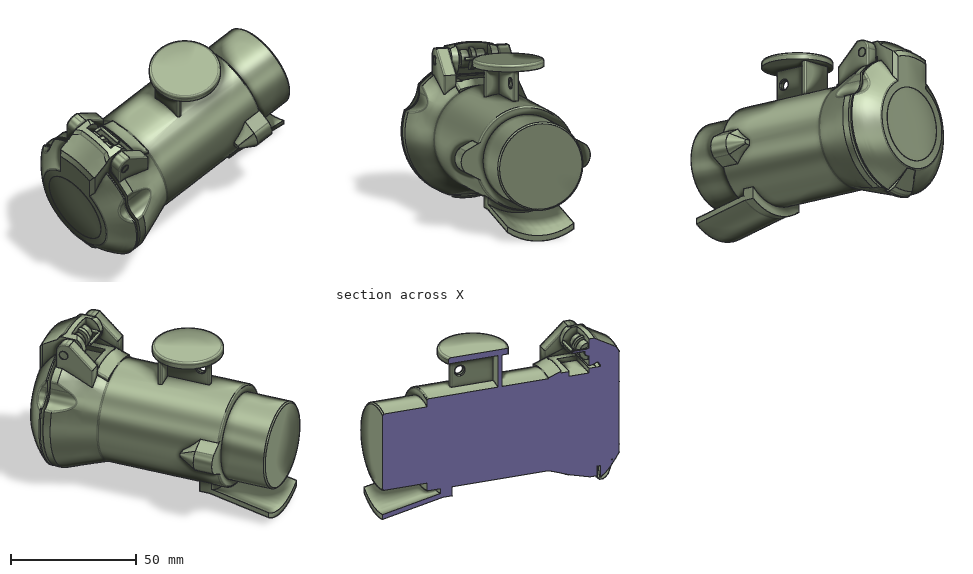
import cadquery as cq
import math

length = 101.6
axis_origin = (0, 0, 0)

body_radius = 21.1
spigot_radius = 17.9
shoulder_y = 82.6
cone_rear_y = 30.5
cone_blend_radius = 1.7
rim_radius = 27.48
rim_rear_y = 12.6
rim_front_y = 9.5
edge_radius = 0.6

lid_rear_y = 8.3
lid_edge_y = 7.7
lid_face_radius = 18.6
lid_face_chamfer = 0.5
lid_bulge_radius = 24.0
lid_bulge_y = 4.2
lid_neck_radius = 22.7
face_disc_radius = 14.9
face_disc_depth = 0.1

recess_x = 27.2
recess_z = 15.4
recess_radius = 6.9
recess_body_fillet = 0.9
recess_lid_fillet = 1.0
recess_rear_y = 25.4

flat_z = -26.0
flat_rear_z = -21.0

pin_y = 13.1
pin_z = 28.9
pin_radius = 1.8
pin_recess = 0.3
lug_inner_x = 10.2
lug_outer_x = 15.3
lug_top_z = 33.9
lug_top_rear_y = 15.6
lug_front_gap = 0.3
lug_rear_y = 25.7
lug_rear_top_z = 24.8
lug_base_z = 14.2
lug_nose_radius = 3.9
lug_edge_fillet = 0.5
arm_half_width = 9.9
arm_face_half_width = 8.4
arm_bevel_y = 1.6
arm_crown_radius = 35.3
arm_nose_radius = 27.6
barrel_radius = 6.1
slot_half_width = 6.9
pad_half_width = 10.6
pad_edge_fillet = 0.8
pad_axis_z = -15.2
pad_floor_z = 21.8
pocket_half_width = 10.0
pocket_rear_y = 25.0
pocket_corner = 1.2
spring_pocket_rear_y = 21.5
spring_pocket_floor_z = 19.8

spring_wire_radius = 0.6
spring_leg_y = 19.7
spring_leg_z = 29.9
spring_leg_x = 5.7
spring_leg_end_x = 4.6
coil_radius = 3.7
loop_radius = 4.5
loop_half_width = 0.9
coil_spans = [(-5.1, -1.3), (1.8, 5.1)]

tab_top_half_width = 2.4
tab_bottom_half_width = 6.1
tab_radius = 28.3

plate_radius = 14.2
plate_y = 60.5
plate_top_z = 36.6
plate_thickness = 2.7
plate_fillet = 0.9
post_front_y = 50.2
post_rear_y = 70.4
post_half_width = 6.9
post_thickness = 2.0
web_thickness = 2.4
hole_y = 66.5
hole_z = 27.8
hole_radius = 1.9
hole_chamfer = 0.4

bayonet_outer_x = 27.08
bayonet_root_half_height = 8.5
bayonet_flat_x = 25.1
bayonet_flat_z = 4.4
bayonet_shoulder_y = 74.6
bayonet_tip_y = 67.4
bayonet_tip_x = 23.8
bayonet_tip_half_height = 1.6
bayonet_root_x = 17.3

strap_half_width = 13.9
strap_curve_radius = 25.4
strap_thickness = 2.2
strap_bottom_z = -30.2
strap_angle = 11.5
foot_front_y = 71.6
foot_rear_y = 76.8
foot_bottom_z = -24.9


def turned(points):
    """Solid of revolution about the Y axis from (radius, y) points."""
    return cq.Workplane("XY").polyline(points).close().revolve(360, axis_origin, (0, 1, 0))


def block(x_range, y_range, z_range):
    sizes = [high - low for low, high in (x_range, y_range, z_range)]
    corner = (x_range[0], y_range[0], z_range[0])
    return cq.Workplane("XY").box(*sizes, centered=False).translate(corner)


def rod_x(x_start, x_end, y, z, radius):
    """Round bar parallel to X."""
    plane = cq.Workplane("YZ", origin=(x_start, y, z))
    return plane.circle(radius).extrude(x_end - x_start)


def rod_y(x, z, radius, y_start, y_end):
    """Round bar parallel to Y."""
    plane = cq.Workplane("XZ", origin=(x, y_start, z))
    return plane.circle(radius).extrude(y_start - y_end)


def side_profile(points, x_start, x_end):
    """Prism parallel to X from (y, z) points."""
    plane = cq.Workplane("YZ", origin=(x_start, 0, 0))
    return plane.polyline(points).close().extrude(x_end - x_start)


def front_profile(points, y_start, y_end):
    """Prism parallel to Y from (x, z) points."""
    plane = cq.Workplane("XZ", origin=(0, y_start, 0))
    return plane.polyline(points).close().extrude(y_start - y_end)


def both_sides(solid):
    return solid.union(solid.mirror("YZ"))


def make_body():
    barrel = turned([
        (0, rim_front_y), (rim_radius, rim_front_y), (rim_radius, rim_rear_y),
        (body_radius, cone_rear_y), (body_radius, shoulder_y), (0, shoulder_y),
    ])
    barrel = barrel.faces(">Y").edges().fillet(edge_radius)
    cone_start = cq.selectors.BoxSelector(
        (-rim_radius, cone_rear_y - 0.1, -rim_radius), (rim_radius, cone_rear_y + 0.1, rim_radius))
    barrel = barrel.edges(cone_start).edges("%CIRCLE").fillet(cone_blend_radius)
    spigot = rod_y(0, 0, spigot_radius, shoulder_y - edge_radius, length)
    spigot = spigot.faces(">Y").edges().chamfer(edge_radius)
    below = -2 * rim_radius
    under_flat = side_profile(
        [(0, flat_z), (rim_rear_y, flat_z), (cone_rear_y, flat_rear_z),
         (cone_rear_y, below), (0, below)],
        -rim_radius, rim_radius)
    return barrel.union(spigot).cut(under_flat)


def make_hinge_pad():
    """Raised pad on top of the cone; its crown is flatter than the cone."""
    slope = (rim_radius - body_radius) / (cone_rear_y - rim_rear_y)
    rear_radius = body_radius - pad_axis_z
    front_radius = rear_radius + slope * (cone_rear_y - rim_front_y)
    crown = turned([(0, rim_front_y), (front_radius, rim_front_y),
                    (rear_radius, cone_rear_y), (0, cone_rear_y)])
    crown = crown.translate((0, 0, pad_axis_z))
    pad = crown.intersect(block(
        (-pad_half_width, pad_half_width), (rim_front_y, cone_rear_y), (0, rim_radius + body_radius)))
    side_edges = "(>X or <X) and (not |Y) and (not |Z)"
    return pad.edges(side_edges).fillet(pad_edge_fillet)


def make_hinge_pocket():
    """Clearance for the lid barrel, with a deeper well under the spring."""
    pocket = block((-pocket_half_width, pocket_half_width), (rim_front_y, pocket_rear_y),
                   (pad_floor_z, 2 * rim_radius))
    pocket = pocket.edges("|Z and >Y").fillet(pocket_corner)
    well = block((-slot_half_width, slot_half_width), (pin_y, spring_pocket_rear_y),
                 (spring_pocket_floor_z, pad_floor_z))
    return pocket.union(well)


def make_hinge_lug():
    front_y = rim_front_y + lug_front_gap
    profile = [
        (front_y, lug_base_z), (front_y, lug_top_z), (lug_top_rear_y, lug_top_z),
        (lug_rear_y, lug_rear_top_z), (lug_rear_y, lug_base_z),
    ]
    lug = side_profile(profile, lug_inner_x, lug_outer_x)
    lug = lug.edges("|X and >Z").edges("<Y").fillet(lug_nose_radius)
    lug = lug.faces("<X or >X").edges().fillet(lug_edge_fillet)
    pin_mark = rod_x(lug_outer_x - pin_recess, lug_outer_x, pin_y, pin_z, pin_radius)
    return lug.cut(pin_mark)


def make_recess():
    scoop = rod_y(recess_x, recess_z, recess_radius, -1, recess_rear_y)
    opening = block((recess_x - recess_radius, recess_x + recess_radius),
                    (-1, recess_rear_y), (recess_z, rim_radius))
    return scoop.union(opening)


def cut_recesses(solid, y_range, fillet_radius):
    """Scoop out both recesses and round over the edges they leave between two places along Y."""
    solid = solid.cut(both_sides(make_recess()))
    wall_x = recess_x - recess_radius
    for side in (-1, 1):
        inner, outer = side * (wall_x - 0.1), side * rim_radius
        outline = cq.selectors.BoxSelector((inner, y_range[0], 0), (outer, y_range[1], rim_radius))
        tangent_line = cq.selectors.BoxSelector(
            (inner, y_range[0], recess_z - 0.1), (side * (wall_x + 0.1), y_range[1], recess_z + 0.1))
        solid = solid.edges(outline - tangent_line).fillet(fillet_radius)
    return solid


def make_lid():
    dome = (
        cq.Workplane("XY").moveTo(0, 0).lineTo(lid_face_radius - lid_face_chamfer, 0)
        .lineTo(lid_face_radius, lid_face_chamfer / 2)
        .threePointArc((lid_bulge_radius, lid_bulge_y), (rim_radius, lid_edge_y))
        .lineTo(0, lid_edge_y).close().revolve(360, axis_origin, (0, 1, 0))
    )
    dome = cut_recesses(dome, (0, lid_edge_y - 0.1), recess_lid_fillet)
    rim = rod_y(0, 0, rim_radius, lid_edge_y, lid_rear_y)
    neck = rod_y(0, 0, lid_neck_radius, lid_edge_y, rim_front_y + edge_radius)
    rear = rim.union(neck).cut(both_sides(make_recess()))
    face_disc = rod_y(0, 0, face_disc_radius, 0, face_disc_depth)
    return dome.union(rear).cut(face_disc)


def make_arm():
    """Lid arm: a turned crown trimmed to width, carrying a slotted barrel around the pin."""
    root_radius = lid_face_radius - 1
    crown = turned([
        (root_radius, 0), (arm_nose_radius, 0), (arm_nose_radius + 2.2, 1.2),
        (arm_crown_radius - 0.8, 9.4), (arm_crown_radius, 10.8), (arm_crown_radius, pin_y),
        (pin_z, pin_y), (pin_z - barrel_radius + 0.5, lid_rear_y), (root_radius, lid_rear_y),
    ])
    barrel = rod_x(-arm_half_width, arm_half_width, pin_y, pin_z, barrel_radius)
    barrel = barrel.intersect(rod_y(0, 0, arm_crown_radius, 0, pin_y + barrel_radius))
    outline = (
        cq.Workplane("XY")
        .polyline([
            (-arm_face_half_width, 0), (arm_face_half_width, 0), (arm_half_width, arm_bevel_y),
            (arm_half_width, pin_y), (-arm_half_width, pin_y), (-arm_half_width, arm_bevel_y),
        ]).close().extrude(arm_crown_radius + 1)
    )
    slot = block((-slot_half_width, slot_half_width), (pin_y, pin_y + 2 * barrel_radius),
                 (pin_z - 2 * barrel_radius, pin_z + 2 * barrel_radius))
    pin = rod_x(-lug_inner_x - 1, lug_inner_x + 1, pin_y, pin_z, pin_radius)
    return crown.intersect(outline).union(barrel).cut(slot).union(pin)


def make_spring():
    cross_leg = rod_x(-spring_leg_x, spring_leg_end_x, spring_leg_y, spring_leg_z, spring_wire_radius)
    side_leg = rod_y(-spring_leg_x, spring_leg_z, spring_wire_radius,
                     pin_y - spring_wire_radius, spring_leg_y + spring_wire_radius)
    spring = cross_leg.union(side_leg)
    for x_start, x_end in coil_spans:
        spring = spring.union(rod_x(x_start, x_end, pin_y, pin_z, coil_radius))
    return spring.union(rod_x(-loop_half_width, loop_half_width, pin_y, pin_z, loop_radius))


def make_latch_tab():
    ring = turned([
        (lid_face_radius, 0.1), (26.6, 4.5), (27.8, 5.9), (tab_radius, 7.1),
        (tab_radius, 8.4), (27.4, rim_front_y - 0.4), (lid_face_radius, lid_rear_y),
    ])
    wedge = front_profile([
        (-tab_top_half_width, -lid_face_radius), (tab_top_half_width, -lid_face_radius),
        (tab_bottom_half_width, -tab_radius), (-tab_bottom_half_width, -tab_radius),
    ], 0, rim_front_y)
    return ring.intersect(wedge)


def make_top_plate():
    plate_base_z = plate_top_z - plate_thickness
    plate = cq.Workplane("XY", origin=(0, plate_y, plate_base_z)).circle(plate_radius).extrude(plate_thickness)
    plate = plate.faces(">Z").edges().fillet(plate_fillet)
    root_z = body_radius / 2
    top_z = plate_base_z + edge_radius
    front = block((-post_half_width, post_half_width),
                  (post_front_y, post_front_y + post_thickness), (root_z, top_z))
    front = front.edges("|Z").fillet(edge_radius)
    web = block((-web_thickness / 2, web_thickness / 2),
                (post_front_y + post_thickness / 2, post_rear_y), (root_z, top_z))
    hole = rod_x(-web_thickness, web_thickness, hole_y, hole_z, hole_radius)
    web = web.edges("|Z and >Y").fillet(edge_radius).cut(hole)
    around_hole = cq.selectors.BoxSelector(
        (-web_thickness, hole_y - 3, hole_z - 3), (web_thickness, hole_y + 3, hole_z + 3))
    web = web.edges(around_hole).chamfer(hole_chamfer)
    return plate.union(front).union(web)


def bayonet_section(y, outer_x, scale):
    """Wedge with sloping flats and a round nose ending at outer_x."""
    flat_x = outer_x - scale * (bayonet_outer_x - bayonet_flat_x)
    root_half = scale * bayonet_root_half_height
    flat_half = scale * bayonet_flat_z
    return (
        cq.Workplane("XZ", origin=(0, y, 0)).moveTo(bayonet_root_x, root_half)
        .lineTo(flat_x, flat_half)
        .threePointArc((outer_x, 0), (flat_x, -flat_half))
        .lineTo(bayonet_root_x, -root_half).close()
    )


def make_bayonet_lug():
    """Straight lug behind a tapered lead-in that narrows toward the front."""
    tip_scale = bayonet_tip_half_height / bayonet_root_half_height
    straight = bayonet_section(shoulder_y, bayonet_outer_x, 1).extrude(shoulder_y - bayonet_shoulder_y)
    shoulder = bayonet_section(bayonet_shoulder_y, bayonet_outer_x, 1).wire().val()
    tip = bayonet_section(bayonet_tip_y, bayonet_tip_x, tip_scale).wire().val()
    taper = cq.Workplane("XY").add(cq.Solid.makeLoft([shoulder, tip], True))
    return straight.union(taper)


def strap_section(plane, bottom, edge_top, curved_top):
    """Section with an arched underside; the top follows the arch or runs straight across."""
    sag = strap_curve_radius - math.sqrt(strap_curve_radius ** 2 - strap_half_width ** 2)
    section = (
        plane.moveTo(-strap_half_width, edge_top).lineTo(-strap_half_width, bottom + sag)
        .threePointArc((0, bottom), (strap_half_width, bottom + sag))
        .lineTo(strap_half_width, edge_top)
    )
    if curved_top:
        section = section.threePointArc((0, edge_top - sag), (-strap_half_width, edge_top))
    return section.close()


def make_strap():
    foot_plane = cq.Workplane("XZ", origin=(0, foot_front_y, 0))
    foot_top = -math.sqrt(body_radius ** 2 - strap_half_width ** 2) + 0.2
    foot = strap_section(foot_plane, foot_bottom_z, foot_top, False).extrude(foot_front_y - foot_rear_y)
    foot = foot.cut(rod_y(0, 0, spigot_radius, 0, length))
    tilt = math.radians(strap_angle)
    strap_direction = (0, -math.cos(tilt), math.sin(tilt))
    rear_plane = cq.Plane(origin=(0, length, strap_bottom_z), xDir=(1, 0, 0), normal=strap_direction)
    sag = strap_curve_radius - math.sqrt(strap_curve_radius ** 2 - strap_half_width ** 2)
    run = (length - foot_front_y - 2) / math.cos(tilt)
    strap = strap_section(cq.Workplane(rear_plane), 0, sag + strap_thickness, True).extrude(run)
    overrun = strap_section(cq.Workplane(rear_plane), 0, sag + strap_thickness, True)
    strap = strap.union(overrun.extrude(-strap_half_width))
    keep = block((-rim_radius, rim_radius), (foot_front_y, length), (2 * strap_bottom_z, 0))
    return foot.union(strap.intersect(keep))


shell = make_body().union(make_hinge_pad())
shell = shell.union(both_sides(make_hinge_lug()))
shell = shell.cut(make_hinge_pocket())
shell = cut_recesses(shell, (rim_front_y + 0.1, recess_rear_y), recess_body_fillet)
shell = shell.union(make_lid())

result = shell.union(make_arm()).union(make_spring()).union(make_latch_tab())
result = result.union(make_top_plate()).union(both_sides(make_bayonet_lug())).union(make_strap())